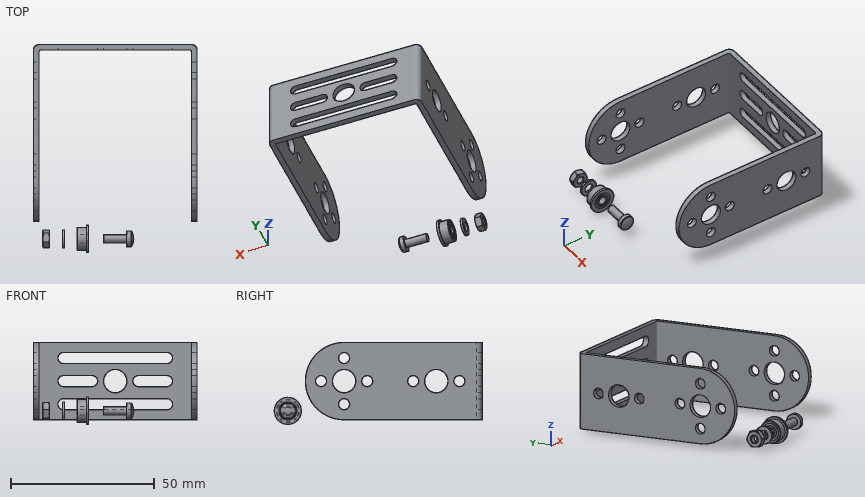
import cadquery as cq
import math

OVERALL_LENGTH = 72.3

BRACKET_WIDTH = 57.0
BRACKET_HEIGHT = 27.0
SHEET = 2.0
BEND_OUTER_RADIUS = 2.0
BEND_INNER_RADIUS = 0.5
HOLE_PITCH = 8.0
LARGE_HOLE_DIAMETER = 8.0
SMALL_HOLE_DIAMETER = 3.75
REAR_HOLE_SETBACK = 16.0
TIP_HOLE_SETBACK = 48.0
SLOT_OUTER_CENTRE = 18.0
SLOT_INNER_CENTRE = HOLE_PITCH

MID_HEIGHT = BRACKET_HEIGHT / 2
ARM_END_RADIUS = BRACKET_HEIGHT / 2

BEARING_FLANGE_DIAMETER = 9.5
BEARING_DIAMETER = 8.0
BEARING_WIDTH = 4.1
BEARING_FLANGE_WIDTH = 0.8
BEARING_BORE = 3.0
BEARING_CHAMFER = 0.2
BEARING_BORE_CHAMFER = 0.2
INNER_RING_DIAMETER = 4.6
OUTER_RING_BORE = 6.3
RING_GROOVE_DEPTH = 0.2
FLANGE_DROP = 1.6

WASHER_DIAMETER = 6.3
WASHER_BORE = 3.3
WASHER_THICKNESS = 0.8

NUT_ACROSS_CORNERS = 6.4
NUT_THICKNESS = 2.45
NUT_BORE = 2.5
NUT_BORE_CHAMFER = 0.3
BORE_CHAMFER_SLOPE = 30.0
NUT_CHAMFER = 0.3
NUT_FACE_DIAMETER = 5.5
NUT_TURN = 9.0

SHANK_DIAMETER = 3.0
SHANK_LENGTH = 8.0
HEAD_DIAMETER = 5.6
HEAD_RIM_HEIGHT = 1.7
HEAD_CHAMFER_HEIGHT = 0.3
HEAD_CHAMFER_INSET = 0.15
HEAD_HEIGHT = 2.45

NUT_OFFSET = 3.25
WASHER_OFFSET = 10.1
BEARING_OFFSET = 15.1
SCREW_OFFSET = 24.45

LEFT_SIDE = -BRACKET_WIDTH / 2
AXIS_Y = BEARING_FLANGE_DIAMETER / 2 - OVERALL_LENGTH
AXIS_Z = BEARING_FLANGE_DIAMETER / 2 - FLANGE_DROP


def bent_strip():
    """U-shaped sheet with rounded bends, still with square arm ends."""
    arm_length = TIP_HOLE_SETBACK + ARM_END_RADIUS
    outer = (
        cq.Workplane("XY")
        .rect(BRACKET_WIDTH, 2 * arm_length)
        .extrude(BRACKET_HEIGHT)
        .edges("|Z and >Y")
        .fillet(BEND_OUTER_RADIUS)
    )
    inner = (
        cq.Workplane("XY")
        .rect(BRACKET_WIDTH - 2 * SHEET, 2 * arm_length)
        .extrude(BRACKET_HEIGHT)
        .edges("|Z and >Y")
        .fillet(BEND_INNER_RADIUS)
        .translate((0, -SHEET, 0))
    )
    return outer.cut(inner).translate((0, -arm_length, 0))


def arm_outline():
    """Side outline that rounds the free ends of both arms."""
    return (
        cq.Workplane("YZ", origin=(LEFT_SIDE, 0, 0))
        .lineTo(-TIP_HOLE_SETBACK, 0)
        .threePointArc(
            (-TIP_HOLE_SETBACK - ARM_END_RADIUS, MID_HEIGHT),
            (-TIP_HOLE_SETBACK, BRACKET_HEIGHT),
        )
        .lineTo(0, BRACKET_HEIGHT)
        .close()
        .extrude(BRACKET_WIDTH)
    )


def arm_holes():
    """Cutters through both arms: two large holes with small holes around them."""
    plane = cq.Workplane("YZ", origin=(LEFT_SIDE, 0, MID_HEIGHT))
    centres = [(-REAR_HOLE_SETBACK, 0), (-TIP_HOLE_SETBACK, 0)]
    small_centres = [(y + side * HOLE_PITCH, 0) for y, _ in centres for side in (-1, 1)]
    small_centres += [(-TIP_HOLE_SETBACK, side * HOLE_PITCH) for side in (-1, 1)]
    large = plane.pushPoints(centres).circle(LARGE_HOLE_DIAMETER / 2).extrude(BRACKET_WIDTH)
    small = plane.pushPoints(small_centres).circle(SMALL_HOLE_DIAMETER / 2).extrude(BRACKET_WIDTH)
    return large.union(small)


def back_openings():
    """Cutters through the back plate: a central hole, two long slots and two short ones."""
    plane = cq.Workplane("XZ", origin=(0, 0, MID_HEIGHT))
    long_slot = 2 * SLOT_OUTER_CENTRE + SMALL_HOLE_DIAMETER
    short_slot = SLOT_OUTER_CENTRE - SLOT_INNER_CENTRE + SMALL_HOLE_DIAMETER
    short_centre = (SLOT_OUTER_CENTRE + SLOT_INNER_CENTRE) / 2
    openings = plane.circle(LARGE_HOLE_DIAMETER / 2).extrude(SHEET)
    for side in (-1, 1):
        openings = openings.union(
            plane.center(0, side * HOLE_PITCH).slot2D(long_slot, SMALL_HOLE_DIAMETER).extrude(SHEET)
        )
        openings = openings.union(
            plane.center(side * short_centre, 0).slot2D(short_slot, SMALL_HOLE_DIAMETER).extrude(SHEET)
        )
    return openings


def make_bracket():
    return bent_strip().intersect(arm_outline()).cut(arm_holes()).cut(back_openings())


def hardware_plane(offset):
    """Plane across the hardware axis; its local X is global Y and its local Y is global Z."""
    return cq.Workplane("YZ", origin=(LEFT_SIDE + offset, AXIS_Y, AXIS_Z))


def half_section(offset):
    """Plane holding the hardware axis: local X runs along the axis, local Y is the radius."""
    return cq.Workplane("XZ", origin=(LEFT_SIDE + offset, AXIS_Y, AXIS_Z))


def chamfered_bore(offset, length, diameter, chamfer):
    """Cutter for a through bore along the hardware axis, widened by a chamfer at both ends."""
    radius = diameter / 2
    depth = chamfer * math.tan(math.radians(BORE_CHAMFER_SLOPE))
    return (
        half_section(offset)
        .lineTo(0, radius + chamfer)
        .lineTo(depth, radius)
        .lineTo(length - depth, radius)
        .lineTo(length, radius + chamfer)
        .lineTo(length, 0)
        .close()
        .revolve(360, (0, 0, 0), (1, 0, 0))
    )


def make_nut():
    """Hexagon nut with both ends chamfered by a cone."""
    corner_radius = NUT_ACROSS_CORNERS / 2
    face_radius = NUT_FACE_DIAMETER / 2
    blank = (
        hardware_plane(NUT_OFFSET)
        .transformed(rotate=(0, 0, -NUT_TURN))
        .polygon(6, NUT_ACROSS_CORNERS)
        .extrude(NUT_THICKNESS)
    )
    chamfer_envelope = (
        half_section(NUT_OFFSET)
        .lineTo(0, face_radius)
        .lineTo(NUT_CHAMFER, corner_radius)
        .lineTo(NUT_THICKNESS - NUT_CHAMFER, corner_radius)
        .lineTo(NUT_THICKNESS, face_radius)
        .lineTo(NUT_THICKNESS, 0)
        .close()
        .revolve(360, (0, 0, 0), (1, 0, 0))
    )
    bore = chamfered_bore(NUT_OFFSET, NUT_THICKNESS, NUT_BORE, NUT_BORE_CHAMFER)
    return blank.intersect(chamfer_envelope).cut(bore)


def make_washer():
    return (
        hardware_plane(WASHER_OFFSET)
        .circle(WASHER_DIAMETER / 2)
        .circle(WASHER_BORE / 2)
        .extrude(WASHER_THICKNESS)
    )


def make_bearing():
    """Flanged bearing, flange on the +X end."""
    body = (
        hardware_plane(BEARING_OFFSET)
        .circle(BEARING_DIAMETER / 2)
        .extrude(BEARING_WIDTH)
        .faces("<X")
        .chamfer(BEARING_CHAMFER)
    )
    flange = (
        hardware_plane(BEARING_OFFSET + BEARING_WIDTH - BEARING_FLANGE_WIDTH)
        .circle(BEARING_FLANGE_DIAMETER / 2)
        .extrude(BEARING_FLANGE_WIDTH)
    )
    bearing = body.union(flange)
    bearing = bearing.cut(
        chamfered_bore(BEARING_OFFSET, BEARING_WIDTH, BEARING_BORE, BEARING_BORE_CHAMFER)
    )
    for groove_start in (0, BEARING_WIDTH - RING_GROOVE_DEPTH):
        groove = (
            hardware_plane(BEARING_OFFSET + groove_start)
            .circle(OUTER_RING_BORE / 2)
            .circle(INNER_RING_DIAMETER / 2)
            .extrude(RING_GROOVE_DEPTH)
        )
        bearing = bearing.cut(groove)
    return bearing


def make_screw():
    """Screw with a plain shank and a head with a chamfered rim and a spherical dome."""
    head_radius = HEAD_DIAMETER / 2
    dome_height = HEAD_HEIGHT - HEAD_RIM_HEIGHT
    dome_foot = head_radius - HEAD_CHAMFER_INSET
    dome_radius = (dome_foot**2 + dome_height**2) / (2 * dome_height)
    half_angle = math.asin(dome_foot / dome_radius) / 2
    total_length = SHANK_LENGTH + HEAD_HEIGHT
    dome_mid = (
        total_length - dome_radius * (1 - math.cos(half_angle)),
        dome_radius * math.sin(half_angle),
    )
    return (
        half_section(SCREW_OFFSET)
        .lineTo(0, SHANK_DIAMETER / 2)
        .lineTo(SHANK_LENGTH, SHANK_DIAMETER / 2)
        .lineTo(SHANK_LENGTH, head_radius)
        .lineTo(SHANK_LENGTH + HEAD_RIM_HEIGHT - HEAD_CHAMFER_HEIGHT, head_radius)
        .lineTo(SHANK_LENGTH + HEAD_RIM_HEIGHT, dome_foot)
        .threePointArc(dome_mid, (total_length, 0))
        .close()
        .revolve(360, (0, 0, 0), (1, 0, 0))
    )


bracket = make_bracket()
nut = make_nut()
washer = make_washer()
bearing = make_bearing()
screw = make_screw()

result = cq.Compound.makeCompound(
    [bracket.val(), nut.val(), washer.val(), bearing.val(), screw.val()]
)